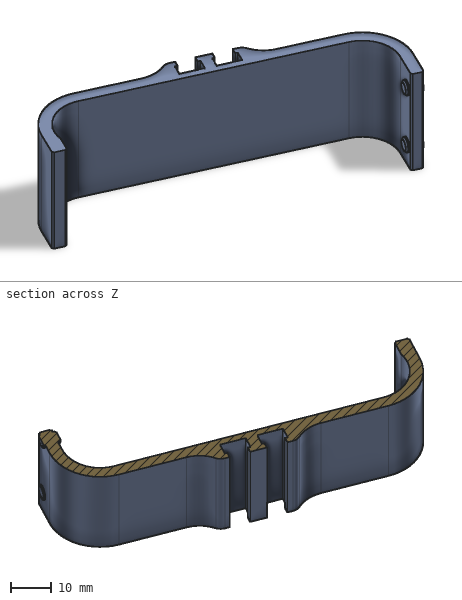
import cadquery as cq
import math

height = 30.0
depth = 25.0
profile_width = 98.3
half_width = profile_width / 2

wall = 3.5
wall_front = 3.7
wall_back = wall_front + wall
bend_radius = 13.4
inner_bend_radius = bend_radius - wall
bend_end = wall_front + bend_radius
straight_end = half_width - bend_radius
tip_chamfer = 0.5
plain_leg_tip = 3.9

flare_end = 17.9
valley_radius = 9.6
flare_angle = math.radians(45)
slot_floor = 5.0
lip_depth = 1.8
slot_outer = 8.3
slot_inner = 1.6
lip_height = 0.7

pin_diameter = 4.0
pin_x = 22.0
pin_end_distance = 6.1
overall_width = 98.7
pin_outside = overall_width - profile_width
pin_inside = 0.9
pin_outer_chamfer = 0.3
pin_inner_chamfer = 0.5


def bar(x_start, x_end, y_start, y_end):
    """Full-height rectangular bar between the given X and Y limits."""
    return (
        cq.Workplane("XY")
        .moveTo((x_start + x_end) / 2, (y_start + y_end) / 2)
        .rect(x_end - x_start, y_end - y_start)
        .extrude(height)
    )


def make_strip():
    """C-shaped strip whose -Y leg thickens where its inner bend runs past 90 degrees."""
    inner_face = half_width - wall
    thick_face = plain_leg_tip - half_width
    overrun = math.acos(1 - (plain_leg_tip - wall) / inner_bend_radius)
    overrun_x = bend_end + inner_bend_radius * math.sin(overrun)
    outer_mid = bend_radius * math.sqrt(0.5)
    inner_mid = inner_bend_radius * math.sqrt(0.5)
    return (
        cq.Workplane("XY")
        .moveTo(depth - tip_chamfer, half_width)
        .lineTo(bend_end, half_width)
        .threePointArc((bend_end - outer_mid, straight_end + outer_mid), (wall_front, straight_end))
        .lineTo(wall_front, -straight_end)
        .threePointArc((bend_end - outer_mid, -straight_end - outer_mid), (bend_end, -half_width))
        .lineTo(depth - tip_chamfer, -half_width)
        .lineTo(depth, tip_chamfer - half_width)
        .lineTo(depth, thick_face - tip_chamfer)
        .lineTo(depth - tip_chamfer, thick_face)
        .lineTo(overrun_x, thick_face)
        .threePointArc((bend_end - inner_mid, -straight_end - inner_mid), (wall_back, -straight_end))
        .lineTo(wall_back, straight_end)
        .threePointArc((bend_end - inner_mid, straight_end + inner_mid), (bend_end, inner_face))
        .lineTo(depth - tip_chamfer, inner_face)
        .lineTo(depth, inner_face + tip_chamfer)
        .lineTo(depth, half_width - tip_chamfer)
        .close()
        .extrude(height)
    )


def make_rail():
    """Raised block with S-shaped flanks, each made of two tangent arcs."""
    arc_rise = 1 - math.cos(flare_angle)
    crest_radius = wall_front / arc_rise - valley_radius
    crest_end = flare_end - (crest_radius + valley_radius) * math.sin(flare_angle)
    joint_x = crest_radius * arc_rise
    joint_y = crest_end + crest_radius * math.sin(flare_angle)
    half_angle = flare_angle / 2
    crest_mid_x = crest_radius * (1 - math.cos(half_angle))
    crest_mid_y = crest_end + crest_radius * math.sin(half_angle)
    valley_mid_x = wall_front - valley_radius * (1 - math.cos(half_angle))
    valley_mid_y = flare_end - valley_radius * math.sin(half_angle)
    return (
        cq.Workplane("XY")
        .moveTo(0, -crest_end)
        .lineTo(0, crest_end)
        .threePointArc((crest_mid_x, crest_mid_y), (joint_x, joint_y))
        .threePointArc((valley_mid_x, valley_mid_y), (wall_front, flare_end))
        .lineTo(wall_back, flare_end)
        .lineTo(wall_back, -flare_end)
        .lineTo(wall_front, -flare_end)
        .threePointArc((valley_mid_x, -valley_mid_y), (joint_x, -joint_y))
        .threePointArc((crest_mid_x, -crest_mid_y), (0, -crest_end))
        .close()
        .extrude(height)
    )


def make_slot():
    """T-slot on the +Y side of the rail: wide inside, narrow between its lips."""
    chamber = bar(lip_depth, slot_floor, slot_inner, slot_outer)
    mouth = bar(0, lip_depth, slot_inner + lip_height, slot_outer - lip_height)
    return chamber.union(mouth)


def make_pin(z):
    """Pin through the +Y leg, standing proud on both faces with chamfered ends."""
    length = pin_outside + wall + pin_inside
    return (
        cq.Workplane("XZ", origin=(pin_x, half_width + pin_outside, z))
        .circle(pin_diameter / 2)
        .extrude(length)
        .faces(">Y")
        .chamfer(pin_outer_chamfer)
        .faces("<Y")
        .chamfer(pin_inner_chamfer)
    )


slot = make_slot()
result = make_strip().union(make_rail()).cut(slot).cut(slot.mirror("XZ"))
for pin_z in (pin_end_distance, height - pin_end_distance):
    result = result.union(make_pin(pin_z))